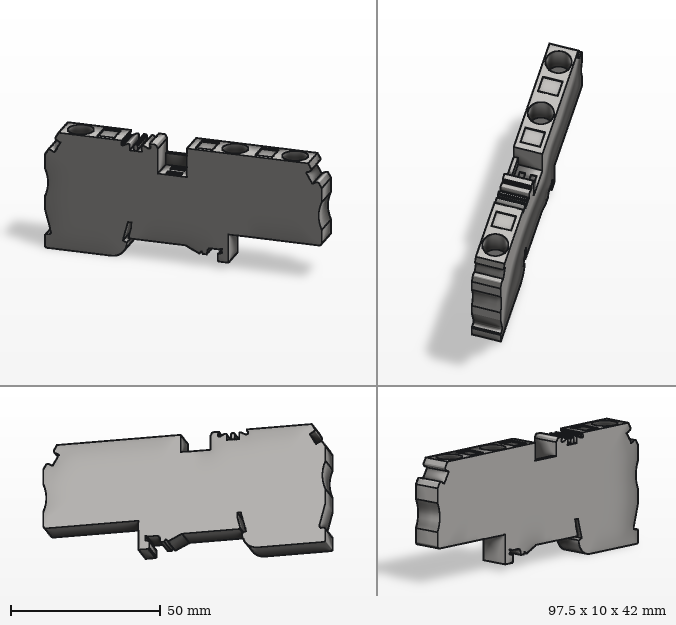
import cadquery as cq
import math

LENGTH = 97.5
THICKNESS = 10.0
HEIGHT = 42.0
BASE_Z = 12.9
BASE_EDGE_RADIUS = 1.1
RAIL_Z = 7.0

WAIST_BOTTOM = 18.6
WAIST_TOP = 28.6
WAIST_DEPTH = 1.1

SHOULDER_Z = 33.6
LIP_LENGTH = 2.6
LIP_INNER_LENGTH = 2.2
NOTCH_ROOT_X = 5.5
NOTCH_ROOT_Z = 38.5
TOP_INSET = 4.8
LUG_LENGTH = 2.7
LIP_RADIUS = 0.8

FOOT_ROUND = 5.5
FOOT_TIP_X = 28.9
FOOT_TOP_Z = 5.0
FOOT_CHAMFER = 0.4
GROOVE_RAMP_TOP_Z = 13.8
FOOT_EDGE_RADIUS = 0.8

CLIP_X = 32.0
CLIP_FLOOR_Z = 38.8
TOOTH_RADIUS = 0.5
PIN_TOP_Z = 41.1
PIN_HALF_WIDTH = 0.7
PIN_CHAMFER_WIDTH = 0.3
PIN_CHAMFER_HEIGHT = 0.5
PIN_NECK_HALF_WIDTH = 0.3
PIN_NECK_HEIGHT = 0.6

SLOT_LEFT = 39.8
SLOT_RIGHT = 50.0
SLOT_FLOOR_Z = 31.7
CREST_BEVEL_Z = 40.7
BACK_WALL_TOP_Z = 35.9
BACK_WALL_THICKNESS = 1.6

WIRE_HOLE_DIAMETER = 8.8
WIRE_HOLE_DEPTH = 9.75
WIRE_HOLE_XS = (11.0, 65.4, 86.5)
WINDOW_LENGTH = 5.9
WINDOW_WIDTH = 6.8
WINDOW_DEPTH = 0.5
WINDOW_XS = (21.0, 55.6, 76.5)
BRIDGE_POCKET_LENGTH = 5.1
BRIDGE_POCKET_WIDTH = 1.95
BRIDGE_POCKET_SPACING = 3.9
BRIDGE_POCKET_DEPTH = 0.5

OVERCUT = 1.0


def step(point, distance, degrees):
    """Point reached by moving a distance in a given direction."""
    angle = math.radians(degrees)
    return (point[0] + distance * math.cos(angle), point[1] + distance * math.sin(angle))


def mirrored(points, centre_x):
    """Mirror points about a vertical line and reverse their order."""
    return [(2 * centre_x - x, z) for x, z in reversed(points)]


def fillet_at(body, point, radius):
    """Round the through-thickness edge nearest to an outline point."""
    edge_middle = (point[0], THICKNESS / 2, point[1])
    nearest = cq.selectors.NearestToPointSelector(edge_middle)
    return body.edges("|Y").edges(nearest).fillet(radius)


shoulder = (0, SHOULDER_Z)
lip_tip = step(shoulder, LIP_LENGTH, 60)
lip_inner = step(lip_tip, LIP_INNER_LENGTH, -30)
notch_root = (NOTCH_ROOT_X, NOTCH_ROOT_Z)
top_left = (TOP_INSET, HEIGHT)
lug_tip = step(top_left, LUG_LENGTH, -120)
left_notch = [shoulder, lip_tip, lip_inner, notch_root, lug_tip, top_left]
right_notch = mirrored(left_notch, LENGTH / 2)

waist_middle = (WAIST_BOTTOM + WAIST_TOP) / 2

tooth_tip = (29.8, 41.4)
left_tooth = [
    (27.1, HEIGHT),
    (27.1, 41.5),
    (26.8, 41.1),
    (26.8, 40.6),
    (27.1, 40.3),
    (27.5, 40.3),
    tooth_tip,
    (tooth_tip[0], CLIP_FLOOR_Z),
]
right_tooth = mirrored(left_tooth, CLIP_X)
right_tooth_tip = mirrored([tooth_tip], CLIP_X)[0]

left_pin_side = [
    (CLIP_X - PIN_NECK_HALF_WIDTH, CLIP_FLOOR_Z),
    (CLIP_X - PIN_HALF_WIDTH, CLIP_FLOOR_Z + PIN_NECK_HEIGHT),
    (CLIP_X - PIN_HALF_WIDTH, PIN_TOP_Z - PIN_CHAMFER_HEIGHT),
    (CLIP_X - PIN_HALF_WIDTH + PIN_CHAMFER_WIDTH, PIN_TOP_Z),
]
right_pin_side = mirrored(left_pin_side, CLIP_X)

rail_hook = [
    (61.8, RAIL_Z),
    (61.8, 7.3),
    (62.3, 7.3),
    (62.3, 5.85),
    (60.8, 5.3),
    (60.8, 3.0),
    (61.2, 2.6),
    (64.6, 2.6),
    (64.6, BASE_Z),
]

ramp_teeth = [(49.5, RAIL_Z), (54.4, 4.7), (55.1, 5.6), (55.7, 4.7), (56.9, 4.7)]
ramp_end = (57.1, 5.6)
throat_start = (58.2, RAIL_Z)
throat_middle = (57.4, 6.5)

flex_slit = [
    (27.5, 6.0),
    (27.6, 6.7),
    (29.25, BASE_Z),
    (30.5, BASE_Z),
    (30.4, 11.1),
    (29.4, 7.3),
    (29.6, RAIL_Z),
]

groove_start = (1.4, FOOT_TOP_Z)
groove_middle = (1.95, 5.4)
groove_end = (2.0, 6.2)

crest_start = (38.6, HEIGHT)
crest_middle = (39.1, 41.8)
crest_end = (39.4, 41.4)

foot_arc_x = FOOT_TIP_X - FOOT_ROUND
foot_arc_middle = step((foot_arc_x, FOOT_ROUND), FOOT_ROUND, -45)

outline = (
    cq.Workplane("XZ")
    .moveTo(0, 0)
    .lineTo(0, FOOT_TOP_Z - FOOT_CHAMFER)
    .lineTo(FOOT_CHAMFER, FOOT_TOP_Z)
    .lineTo(*groove_start)
    .threePointArc(groove_middle, groove_end)
    .lineTo(0, GROOVE_RAMP_TOP_Z)
    .lineTo(0, WAIST_BOTTOM)
    .threePointArc((WAIST_DEPTH, waist_middle), (0, WAIST_TOP))
    .polyline(left_notch, includeCurrent=True)
    .polyline(left_tooth, includeCurrent=True)
    .polyline(left_pin_side, includeCurrent=True)
    .polyline(right_pin_side, includeCurrent=True)
    .polyline(right_tooth, includeCurrent=True)
    .lineTo(*crest_start)
    .threePointArc(crest_middle, crest_end)
    .lineTo(SLOT_LEFT, CREST_BEVEL_Z)
    .lineTo(SLOT_LEFT, SLOT_FLOOR_Z)
    .lineTo(SLOT_RIGHT, SLOT_FLOOR_Z)
    .lineTo(SLOT_RIGHT, HEIGHT)
    .polyline(right_notch, includeCurrent=True)
    .lineTo(LENGTH, WAIST_TOP)
    .threePointArc((LENGTH - WAIST_DEPTH, waist_middle), (LENGTH, WAIST_BOTTOM))
    .lineTo(LENGTH, BASE_Z)
    .polyline(rail_hook[::-1], includeCurrent=True)
    .lineTo(*throat_start)
    .threePointArc(throat_middle, ramp_end)
    .polyline(ramp_teeth[::-1], includeCurrent=True)
    .polyline(flex_slit[::-1], includeCurrent=True)
    .lineTo(FOOT_TIP_X, FOOT_ROUND)
    .threePointArc(foot_arc_middle, (foot_arc_x, 0))
)
body = outline.close().extrude(-THICKNESS)

for notch in (left_notch, right_notch):
    for tip in (notch[1], notch[-2]):
        body = fillet_at(body, tip, LIP_RADIUS)
body = fillet_at(body, (0, 0), FOOT_EDGE_RADIUS)
body = fillet_at(body, (LENGTH, BASE_Z), BASE_EDGE_RADIUS)
for tip in (tooth_tip, right_tooth_tip):
    body = fillet_at(body, tip, TOOTH_RADIUS)

slot_length = SLOT_RIGHT - SLOT_LEFT
slot_middle = (SLOT_LEFT + SLOT_RIGHT) / 2
slot_front_width = THICKNESS - BACK_WALL_THICKNESS
back_wall_height = BACK_WALL_TOP_Z - SLOT_FLOOR_Z
back_wall_corner = cq.Workplane("XY", origin=(SLOT_LEFT, slot_front_width, SLOT_FLOOR_Z))
back_wall = back_wall_corner.box(slot_length, BACK_WALL_THICKNESS, back_wall_height, centered=False)
body = body.union(back_wall)


def rectangular_cutter(x, y, top_z, length, width, depth):
    """Box that cuts a pocket of the given depth below top_z."""
    sketch = cq.Workplane("XY", origin=(x, y, top_z - depth)).rect(length, width)
    return sketch.extrude(depth + OVERCUT)


for x in WIRE_HOLE_XS:
    hole_bottom = cq.Workplane("XY", origin=(x, THICKNESS / 2, HEIGHT - WIRE_HOLE_DEPTH))
    body = body.cut(hole_bottom.circle(WIRE_HOLE_DIAMETER / 2).extrude(WIRE_HOLE_DEPTH + OVERCUT))

for x in WINDOW_XS:
    window = rectangular_cutter(x, THICKNESS / 2, HEIGHT, WINDOW_LENGTH, WINDOW_WIDTH, WINDOW_DEPTH)
    body = body.cut(window)

for side in (-1, 1):
    pocket_y = (slot_front_width + side * BRIDGE_POCKET_SPACING) / 2
    bridge_pocket = rectangular_cutter(
        slot_middle,
        pocket_y,
        SLOT_FLOOR_Z,
        BRIDGE_POCKET_LENGTH,
        BRIDGE_POCKET_WIDTH,
        BRIDGE_POCKET_DEPTH,
    )
    body = body.cut(bridge_pocket)

result = body